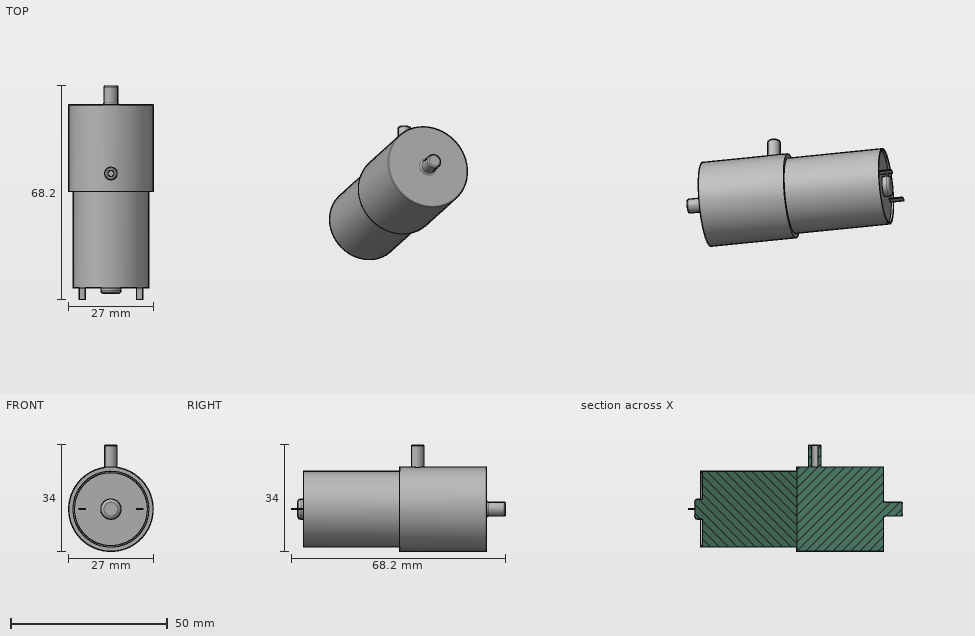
import cadquery as cq

head_diameter = 27.0
head_length = 27.8
head_edge_fillet = 0.2

rear_port_diameter = 4.5
rear_port_length = 6.0
rear_port_tip_fillet = 0.5
rear_port_root_fillet = 0.55

top_port_diameter = 4.0
top_port_bore = 2.0
top_port_height = 20.5
top_port_y = 5.8
top_port_tip_fillet = 0.4
top_port_length = top_port_height - head_diameter / 2

motor_diameter = 24.2
motor_length = 30.7
recess_diameter = 23.3
recess_depth = 0.7
boss_diameter = 6.5
boss_projection = 1.8
boss_fillet = 1.0

overall_length = 68.25
terminal_width = 2.05
terminal_thickness = 0.35
terminal_offset = 9.15
terminal_projection = overall_length - rear_port_length - head_length - motor_length
terminal_length = terminal_projection + recess_depth

recess_floor_y = recess_depth - motor_length


def axial_cylinder(diameter, start_y, length):
    """Cylinder about the Y axis, running from start_y toward +Y."""
    plane = cq.Workplane("XZ", origin=(0, start_y, 0))
    return plane.circle(diameter / 2).extrude(-length)


def make_pump_head():
    head = axial_cylinder(head_diameter, 0, head_length).faces(">Y").edges().fillet(head_edge_fillet)

    rear_port = axial_cylinder(rear_port_diameter, head_length, rear_port_length)
    rear_port = rear_port.faces(">Y").edges().fillet(rear_port_tip_fillet)
    head = head.union(rear_port)
    back_face = head.faces("%PLANE").faces(">Y[-2]")
    root_edge = back_face.edges(cq.selectors.RadiusNthSelector(0))
    head = root_edge.fillet(rear_port_root_fillet)

    port_plane = cq.Workplane("XY", origin=(0, top_port_y, 0))
    top_port = port_plane.circle(top_port_diameter / 2).extrude(top_port_height)
    top_port = top_port.faces(">Z").edges().fillet(top_port_tip_fillet)
    bore_plane = port_plane.workplane(offset=top_port_height)
    bore = bore_plane.circle(top_port_bore / 2).extrude(-top_port_length)
    return head.union(top_port).cut(bore)


def make_motor():
    motor = axial_cylinder(motor_diameter, -motor_length, motor_length)
    recess = axial_cylinder(recess_diameter, -motor_length, recess_depth)
    boss = axial_cylinder(boss_diameter, -motor_length - boss_projection, boss_projection + recess_depth)
    boss = boss.faces("<Y").edges().fillet(boss_fillet)
    return motor.cut(recess).union(boss)


def make_terminal(side):
    """Flat blade on the recess floor; side is -1 or 1 along X."""
    blade = cq.Workplane("XY").box(terminal_width, terminal_length, terminal_thickness)
    return blade.translate((side * terminal_offset, recess_floor_y - terminal_length / 2, 0))


pump_head = make_pump_head()
motor = make_motor()
terminals = [make_terminal(side).val() for side in (-1, 1)]

result = cq.Compound.makeCompound([pump_head.val(), motor.val(), *terminals])